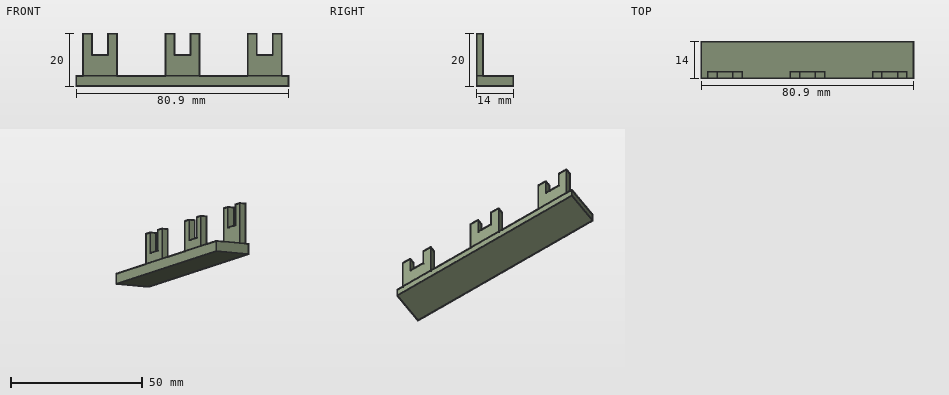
import cadquery as cq

base_length = 80.9
base_depth = 14.0
base_height = 4.0

total_height = 20.0
fork_count = 3
fork_pitch = 31.4
fork_width = 13.0
fork_thickness = 2.5
fork_height = total_height - base_height
first_fork_x = -fork_pitch * (fork_count - 1) / 2

slot_width = 6.0
slot_depth = fork_height / 2


def make_base():
    """Plain rectangular bar."""
    return cq.Workplane("XY").box(base_length, base_depth, base_height, centered=(True, False, False))


def make_fork(center_x):
    """Upright plate with an open slot between two prongs."""
    plate = (
        cq.Workplane("XY")
        .box(fork_width, fork_thickness, fork_height, centered=(True, False, False))
    )
    slot = (
        cq.Workplane("XY")
        .box(slot_width, fork_thickness, slot_depth, centered=(True, False, False))
        .translate((0, 0, fork_height - slot_depth))
    )
    return plate.cut(slot).translate((center_x, 0, base_height))


base = make_base()
forks = [make_fork(first_fork_x + i * fork_pitch) for i in range(fork_count)]

result = cq.Compound.makeCompound([base.val(), *[fork.val() for fork in forks]])